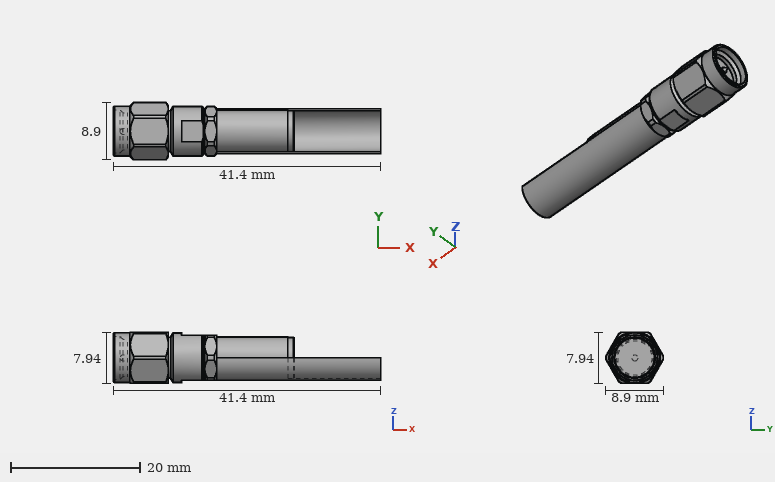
import cadquery as cq
import math


collar_end = 2.55
coupling_end = 8.5
neck_end = 8.85
body_start = 9.25
flat_start = 10.55
body_end = 13.9
nut_start = 14.15
nut_end = 16.0
band_start = 27.0
sleeve_end = 27.95
total_length = 41.38

collar_diameter = 7.75
collar_chamfer = 0.2
coupling_across_flats = 7.94
coupling_corner_diameter = 8.9
coupling_front_cone_length = 0.6
coupling_rear_diameter = coupling_across_flats
coupling_rear_cone_length = 0.37

entry_diameter = 6.65
entry_depth = 1.0
bore_diameter = 5.7
bore_start = 1.5
floor_depth = 2.15
pin_diameter = 0.93
pin_tip = 0.75
pin_point_length = 0.6

neck_diameter = 6.35
body_diameter = 7.7
body_chamfer = 0.2
body_across_flats = 7.0
groove_diameter = 5.3

nut_across_flats = 7.0
nut_corner_diameter = 7.7
nut_end_diameter = nut_across_flats
nut_cone_length = 0.4

sleeve_diameter = 6.4
band_diameter = 6.3
band_chamfer = 0.1
tube_outer_diameter = 7.0
tube_inner_diameter = 6.35


def cylinder(start, end, diameter):
    """Round bar on the axis between two stations."""
    return cq.Workplane("YZ", origin=(start, 0, 0)).circle(diameter / 2).extrude(end - start)


def turned(profile):
    """Solid of revolution about X from (station, diameter) pairs, closed along the axis."""
    start, first_diameter = profile[0]
    end = profile[-1][0]
    points = [(station, diameter / 2) for station, diameter in profile]
    if first_diameter > 0:
        points.insert(0, (start, 0))
    points.append((end, 0))
    return cq.Workplane("XY").polyline(points).close().revolve(360, (0, 0), (1, 0))


def hexagon(across_flats, profile):
    """Hexagon with flats facing +Z and -Z, its corners and ends turned to the profile."""
    start, end = profile[0][0], profile[-1][0]
    corner_to_corner = across_flats / math.cos(math.pi / 6)
    prism = cq.Workplane("YZ", origin=(start, 0, 0)).polygon(6, corner_to_corner).extrude(end - start)
    return prism.intersect(turned(profile))


def coupling_nut():
    collar = cylinder(0, coupling_end, collar_diameter).faces("<X").chamfer(collar_chamfer)
    hexagon_part = hexagon(coupling_across_flats, [
        (collar_end, collar_diameter),
        (collar_end + coupling_front_cone_length, coupling_corner_diameter),
        (coupling_end - coupling_rear_cone_length, coupling_corner_diameter),
        (coupling_end, coupling_rear_diameter),
    ])
    return collar.union(hexagon_part)


def socket():
    """Space inside the coupling nut: wide entry, cone and bore down to a flat floor."""
    return turned([
        (0, entry_diameter),
        (entry_depth, entry_diameter),
        (bore_start, bore_diameter),
        (floor_depth, bore_diameter),
    ])


def pin():
    """Contact pin with a conical point."""
    return turned([
        (pin_tip, 0),
        (pin_tip + pin_point_length, pin_diameter),
        (collar_end, pin_diameter),
    ])


def body():
    """Turned neck and body with two wrench flats, then the groove in front of the crimp nut."""
    shape = turned([
        (coupling_end, neck_diameter),
        (neck_end, neck_diameter),
        (body_start, body_diameter),
        (body_end - body_chamfer, body_diameter),
        (body_end, body_diameter - 2 * body_chamfer),
    ])
    flat_length = body_end - flat_start
    flat_depth = (body_diameter - body_across_flats) / 2
    for side in (1, -1):
        centre = (flat_start + flat_length / 2, 0, side * (body_across_flats + flat_depth) / 2)
        cutter = cq.Workplane("XY", origin=centre).box(flat_length, body_diameter, flat_depth)
        shape = shape.cut(cutter)
    return shape.union(cylinder(body_end, nut_start, groove_diameter))


def crimp_nut():
    return hexagon(nut_across_flats, [
        (nut_start, nut_end_diameter),
        (nut_start + nut_cone_length, nut_corner_diameter),
        (nut_end - nut_cone_length, nut_corner_diameter),
        (nut_end, nut_end_diameter),
    ])


def crimp_sleeve():
    sleeve = cylinder(nut_end, band_start, sleeve_diameter)
    band = cylinder(band_start, sleeve_end, band_diameter).faces(">X").chamfer(band_chamfer)
    return sleeve.union(band)


def half_tube():
    """Thin tube around the sleeve, with only the half below the axis kept."""
    tube = cylinder(nut_end, total_length, tube_outer_diameter)
    tube = tube.cut(cylinder(nut_end, total_length, tube_inner_diameter))
    lower_half = cq.Workplane("XY").box(
        total_length, tube_outer_diameter, tube_outer_diameter, centered=(False, True, False)
    ).translate((0, 0, -tube_outer_diameter))
    return tube.intersect(lower_half)


result = coupling_nut().cut(socket()).union(pin())
for section in (body(), crimp_nut(), crimp_sleeve(), half_tube()):
    result = result.union(section)